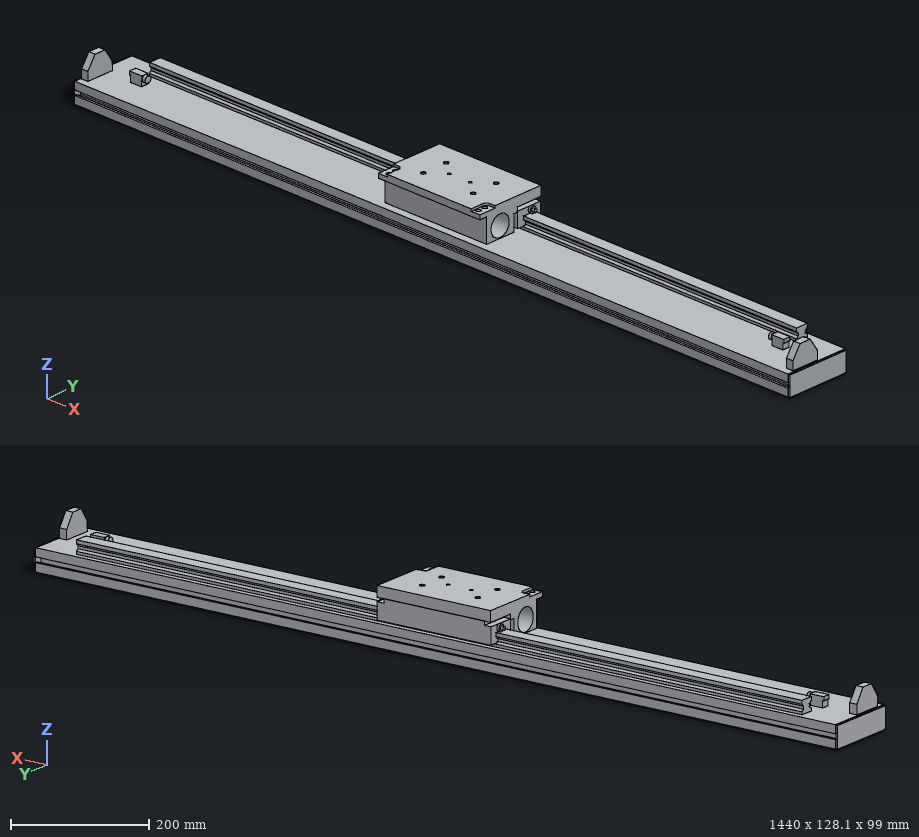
import cadquery as cq


OVERALL_LENGTH = 1440.0
BASE_WIDTH = 120.0
BASE_HEIGHT = 40.0
BASE_BOTTOM_CHAMFER = 3.0
END_PLATE_THICKNESS = 3.0
END_PLATE_INSET = 1.0

SLOT_Z = 21.7
SLOT_MOUTH_HEIGHT = 8.7
SLOT_INNER_HEIGHT = 16.0
SLOT_LIP = 4.0
SLOT_DEPTH = 14.0

CAVITY_BOTTOM = 5.0
CAVITY_TOP = 12.5
CAVITY_SPAN = 96.0
WEB_Y = 19.5
WEB_BOTTOM_WIDTH = 16.0
WEB_TOP_WIDTH = 26.0

RAIL_LENGTH = 1300.0
RAIL_WIDTH = 23.0
RAIL_HEIGHT = 22.0
RAIL_Y = 39.0
RAIL_WAIST_WIDTH = 15.0
WAIST_LEVELS = (4.5, 7.5, 12.0, 16.0)

BLOCK_WIDTH = 48.0
BLOCK_BOTTOM = 46.0
BLOCK_TOP = 81.0
BLOCK_CAP_TOP = 74.0
BLOCK_CAP_LENGTH = 12.0
NIPPLE_Y = 43.0
NIPPLE_Z = 68.0
NIPPLE_COLLAR_DIAMETER = 12.0
NIPPLE_COLLAR_LENGTH = 4.0
NIPPLE_TIP_DIAMETER = 6.0
NIPPLE_LENGTH = 9.0

SHAFT_Y = -21.7

BRACKET_X = 708.0
BRACKET_THICKNESS = 13.0
BRACKET_WIDTH = 51.0
BRACKET_TOP_WIDTH = 21.0
BRACKET_SHOULDER_Z = 56.0
BRACKET_TOP = 78.5

STOP_WIDTH = 13.0
STOP_FOOT_X = (633.0, 655.0)
STOP_HEAD_X = (632.0, 657.0)
STOP_HEAD_BOTTOM = 51.0
STOP_TOP = 57.5
BUFFER_LENGTH = 6.0
BUFFER_DIAMETER = 12.0

CARRIAGE_LENGTH = 204.0
CARRIAGE_WIDTH = 128.1
CARRIAGE_TOP = 99.0
CARRIAGE_BOTTOM = 43.0
FLANGE_BOTTOM = 87.0
LEG_FRONT_Y = -50.0
LEG_BACK_Y = 7.0
GAP_CEILING = 72.5
BORE_DIAMETER = 38.0
BORE_Z = 63.5

MOUNT_HOLE_X = 50.0
MOUNT_HOLE_Y = 24.0
MOUNT_HOLE_DIAMETER = 6.65
MOUNT_HOLE_MOUTH = 8.08
PIN_HOLE_X = 21.0
PIN_HOLE_DIAMETER = 5.02
TOP_HOLE_DEPTH = 14.0

RECESS_LENGTH = 17.5
RECESS_BACK_Y = -32.5
RECESS_DEPTH = 4.0
RECESS_ROUNDING = 7.0
RECESS_HOLE_DIAMETER = 8.0
RECESS_HOLE_INSET = 12.0
RECESS_HOLES_Y = (-41.0, -54.5)
RECESS_HOLE_DEPTH = 10.0

BASE_END = OVERALL_LENGTH / 2 - END_PLATE_THICKNESS
CARRIAGE_END = CARRIAGE_LENGTH / 2
CARRIAGE_SIDE = CARRIAGE_WIDTH / 2
BLOCK_Y = (RAIL_Y - BLOCK_WIDTH / 2, RAIL_Y + BLOCK_WIDTH / 2)
SIDES = (-1, 1)


def box(x_range, y_range, z_range):
    """Box between two limits on each axis, given in either order."""
    ranges = [sorted(limits) for limits in (x_range, y_range, z_range)]
    size = [high - low for low, high in ranges]
    corner = tuple(low for low, high in ranges)
    return cq.Workplane("XY").box(*size, centered=False).translate(corner)


def profile_x(points, start_x, end_x):
    """Closed outline of (Y, Z) points, extruded along X."""
    return cq.Workplane("YZ", origin=(start_x, 0, 0)).polyline(points).close().extrude(end_x - start_x)


def rod_x(diameter, start_x, end_x, y, z):
    """Cylinder along X."""
    return cq.Workplane("YZ", origin=(start_x, y, z)).circle(diameter / 2).extrude(end_x - start_x)


def with_mirror(half_outline):
    """Close an outline given for +Y with its mirror image at -Y."""
    return half_outline + [(-y, z) for y, z in reversed(half_outline)]


def profile_cutter(points):
    """Hollow that runs through the whole extruded profile."""
    return profile_x(points, -BASE_END, BASE_END)


def side_slot(side):
    mouth_y = side * BASE_WIDTH / 2
    lip_y = mouth_y - side * SLOT_LIP
    deep_y = mouth_y - side * SLOT_DEPTH
    mouth_half = SLOT_MOUTH_HEIGHT / 2
    inner_half = SLOT_INNER_HEIGHT / 2
    return profile_cutter([
        (mouth_y, SLOT_Z - mouth_half),
        (lip_y, SLOT_Z - mouth_half),
        (lip_y, SLOT_Z - inner_half),
        (deep_y, SLOT_Z - inner_half),
        (deep_y, SLOT_Z + inner_half),
        (lip_y, SLOT_Z + inner_half),
        (lip_y, SLOT_Z + mouth_half),
        (mouth_y, SLOT_Z + mouth_half),
    ])


def middle_cavity():
    bottom_half = WEB_Y - WEB_BOTTOM_WIDTH / 2
    top_half = WEB_Y - WEB_TOP_WIDTH / 2
    return profile_cutter(with_mirror([(bottom_half, CAVITY_BOTTOM), (top_half, CAVITY_TOP)]))


def side_cavity(side):
    outer_y = side * CAVITY_SPAN / 2
    bottom_y = side * (WEB_Y + WEB_BOTTOM_WIDTH / 2)
    top_y = side * (WEB_Y + WEB_TOP_WIDTH / 2)
    return profile_cutter([
        (outer_y, CAVITY_BOTTOM),
        (outer_y, CAVITY_TOP),
        (top_y, CAVITY_TOP),
        (bottom_y, CAVITY_BOTTOM),
    ])


def end_stop(end):
    stop_y = (-STOP_WIDTH / 2, STOP_WIDTH / 2)
    foot = box([end * x for x in STOP_FOOT_X], stop_y, (BASE_HEIGHT, STOP_HEAD_BOTTOM))
    head = box([end * x for x in STOP_HEAD_X], stop_y, (STOP_HEAD_BOTTOM, STOP_TOP))
    inner_x = end * STOP_HEAD_X[0]
    buffer_z = STOP_TOP - BUFFER_DIAMETER / 2
    buffer = rod_x(BUFFER_DIAMETER, inner_x, inner_x - end * BUFFER_LENGTH, 0, buffer_z)
    return foot.union(head).union(buffer)


def end_bracket(end):
    half_outline = [
        (BRACKET_WIDTH / 2, BASE_HEIGHT),
        (BRACKET_WIDTH / 2, BRACKET_SHOULDER_Z),
        (BRACKET_TOP_WIDTH / 2, BRACKET_TOP),
    ]
    middle_x = end * BRACKET_X
    half_thickness = BRACKET_THICKNESS / 2
    bracket = profile_x(with_mirror(half_outline), middle_x - half_thickness, middle_x + half_thickness)
    return bracket.translate((0, SHAFT_Y, 0))


def make_base():
    half_width = BASE_WIDTH / 2
    base = profile_x(
        with_mirror([
            (half_width - BASE_BOTTOM_CHAMFER, 0),
            (half_width, BASE_BOTTOM_CHAMFER),
            (half_width, BASE_HEIGHT),
        ]),
        -BASE_END,
        BASE_END,
    )
    base = base.cut(middle_cavity())
    for side in SIDES:
        base = base.cut(side_slot(side)).cut(side_cavity(side))
    for end in SIDES:
        base = base.union(end_stop(end)).union(end_bracket(end))
    return base


def make_end_plate(end):
    half_width = BASE_WIDTH / 2 - END_PLATE_INSET
    x_range = (end * BASE_END, end * (BASE_END + END_PLATE_THICKNESS))
    z_range = (BASE_BOTTOM_CHAMFER, BASE_HEIGHT - END_PLATE_INSET)
    return box(x_range, (-half_width, half_width), z_range)


def make_rail():
    wide = RAIL_WIDTH / 2
    waist = RAIL_WAIST_WIDTH / 2
    half_outline = [(wide, 0)]
    half_outline += zip((wide, waist, waist, wide), WAIST_LEVELS)
    half_outline.append((wide, RAIL_HEIGHT))
    rail = profile_x(with_mirror(half_outline), -RAIL_LENGTH / 2, RAIL_LENGTH / 2)
    return rail.translate((0, RAIL_Y, BASE_HEIGHT))


def make_block(rail):
    cap_start = CARRIAGE_END - BLOCK_CAP_LENGTH
    block = box((-CARRIAGE_END, CARRIAGE_END), BLOCK_Y, (BLOCK_BOTTOM, BLOCK_CAP_TOP))
    block = block.union(box((-cap_start, cap_start), BLOCK_Y, (BLOCK_CAP_TOP, BLOCK_TOP)))
    for end in SIDES:
        face = end * CARRIAGE_END
        collar_end = face + end * NIPPLE_COLLAR_LENGTH
        tip_end = face + end * NIPPLE_LENGTH
        block = block.union(rod_x(NIPPLE_COLLAR_DIAMETER, face, collar_end, NIPPLE_Y, NIPPLE_Z))
        block = block.union(rod_x(NIPPLE_TIP_DIAMETER, face, tip_end, NIPPLE_Y, NIPPLE_Z))
    return block.cut(rail)


def corner_recess(end):
    outer_x = end * CARRIAGE_END
    floor_z = CARRIAGE_TOP - RECESS_DEPTH
    x_range = (outer_x, outer_x - end * RECESS_LENGTH)
    pocket = box(x_range, (-CARRIAGE_SIDE, RECESS_BACK_Y), (floor_z, CARRIAGE_TOP))
    inner_corner = "|Z and >Y and <X" if end > 0 else "|Z and >Y and >X"
    pocket = pocket.edges(inner_corner).fillet(RECESS_ROUNDING)
    hole_x = outer_x - end * RECESS_HOLE_INSET
    holes = (
        cq.Workplane("XY", origin=(0, 0, floor_z))
        .pushPoints([(hole_x, y) for y in RECESS_HOLES_Y])
        .circle(RECESS_HOLE_DIAMETER / 2)
        .extrude(-RECESS_HOLE_DEPTH)
    )
    return pocket.union(holes)


def drill_top(body):
    mount_points = [(i * MOUNT_HOLE_X, j * MOUNT_HOLE_Y) for i in SIDES for j in SIDES]
    pin_points = [(i * PIN_HOLE_X, 0) for i in SIDES]
    top = cq.Workplane("XY", origin=(0, 0, CARRIAGE_TOP))
    body = body.cut(top.pushPoints(mount_points).circle(MOUNT_HOLE_DIAMETER / 2).extrude(-TOP_HOLE_DEPTH))
    mouth_depth = (MOUNT_HOLE_MOUTH - MOUNT_HOLE_DIAMETER) / 2
    mouth = cq.Solid.makeCone(MOUNT_HOLE_DIAMETER / 2, MOUNT_HOLE_MOUTH / 2, mouth_depth)
    for x, y in mount_points:
        body = body.cut(cq.Workplane(mouth.translate(cq.Vector(x, y, CARRIAGE_TOP - mouth_depth))))
    return body.cut(top.pushPoints(pin_points).circle(PIN_HOLE_DIAMETER / 2).extrude(-TOP_HOLE_DEPTH))


def make_carriage():
    outline = [
        (LEG_FRONT_Y, CARRIAGE_BOTTOM),
        (LEG_BACK_Y, CARRIAGE_BOTTOM),
        (LEG_BACK_Y, GAP_CEILING),
        (BLOCK_Y[0], GAP_CEILING),
        (BLOCK_Y[0], BLOCK_TOP),
        (CARRIAGE_SIDE, BLOCK_TOP),
        (CARRIAGE_SIDE, CARRIAGE_TOP),
        (-CARRIAGE_SIDE, CARRIAGE_TOP),
        (-CARRIAGE_SIDE, FLANGE_BOTTOM),
        (LEG_FRONT_Y, FLANGE_BOTTOM),
    ]
    carriage = profile_x(outline, -CARRIAGE_END, CARRIAGE_END)
    carriage = carriage.cut(rod_x(BORE_DIAMETER, -CARRIAGE_END, CARRIAGE_END, SHAFT_Y, BORE_Z))
    for end in SIDES:
        carriage = carriage.cut(corner_recess(end))
    return drill_top(carriage)


base = make_base()
rail = make_rail()
block = make_block(rail)
carriage = make_carriage()
end_plates = [make_end_plate(end) for end in SIDES]

bodies = [base, *end_plates, rail, block, carriage]
result = cq.Compound.makeCompound([body.val() for body in bodies])